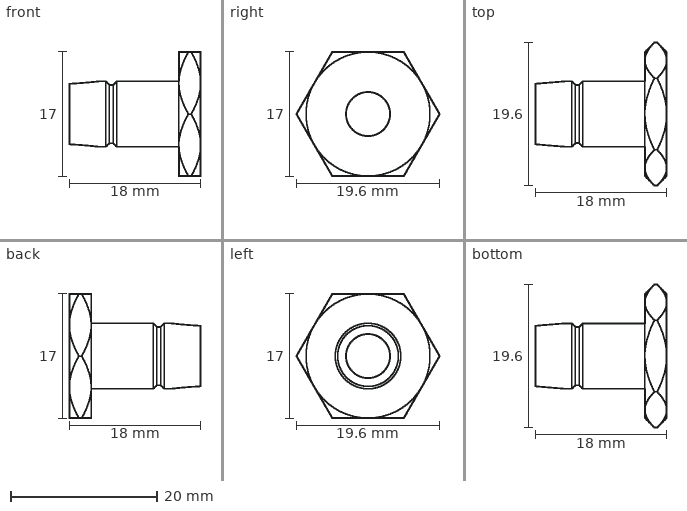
import cadquery as cq
import math

corner_width = 19.63
flat_width = corner_width * math.cos(math.pi / 6)
total_length = 18.0
head_thickness = 3.0
head_start = total_length - head_thickness

stem_radius = 4.5
nose_tip_radius = 4.16
groove_radius = 4.0
bore_radius = 3.0

nose_length = 4.0
groove_start = 5.0
groove_side_length = stem_radius - groove_radius
groove_floor_length = 0.51
groove_floor_start = groove_start + groove_side_length
groove_floor_end = groove_floor_start + groove_floor_length
groove_end = groove_floor_end + groove_side_length


def make_stem():
    """Revolved stem with a tapered nose and a groove with sloping sides."""
    return (
        cq.Workplane("XY")
        .moveTo(0, 0)
        .lineTo(0, nose_tip_radius)
        .lineTo(nose_length, stem_radius)
        .lineTo(groove_start, stem_radius)
        .lineTo(groove_floor_start, groove_radius)
        .lineTo(groove_floor_end, groove_radius)
        .lineTo(groove_end, stem_radius)
        .lineTo(total_length, stem_radius)
        .lineTo(total_length, 0)
        .close()
        .revolve(360, (0, 0, 0), (1, 0, 0))
    )


def make_head():
    """Hexagonal head with corners on Y, its corners bevelled at 45 degrees on both faces."""
    hexagon = (
        cq.Workplane("YZ", origin=(head_start, 0, 0))
        .polygon(6, corner_width)
        .extrude(head_thickness)
    )
    bevel = (corner_width - flat_width) / 2
    bevelled_disc = (
        cq.Workplane("YZ", origin=(head_start, 0, 0))
        .circle(corner_width / 2)
        .extrude(head_thickness)
        .edges("%CIRCLE")
        .chamfer(bevel)
    )
    return hexagon.intersect(bevelled_disc)


def make_bore():
    """Cylinder that clears the bore through the whole part."""
    return cq.Workplane("YZ").circle(bore_radius).extrude(total_length)


result = make_stem().union(make_head()).cut(make_bore())